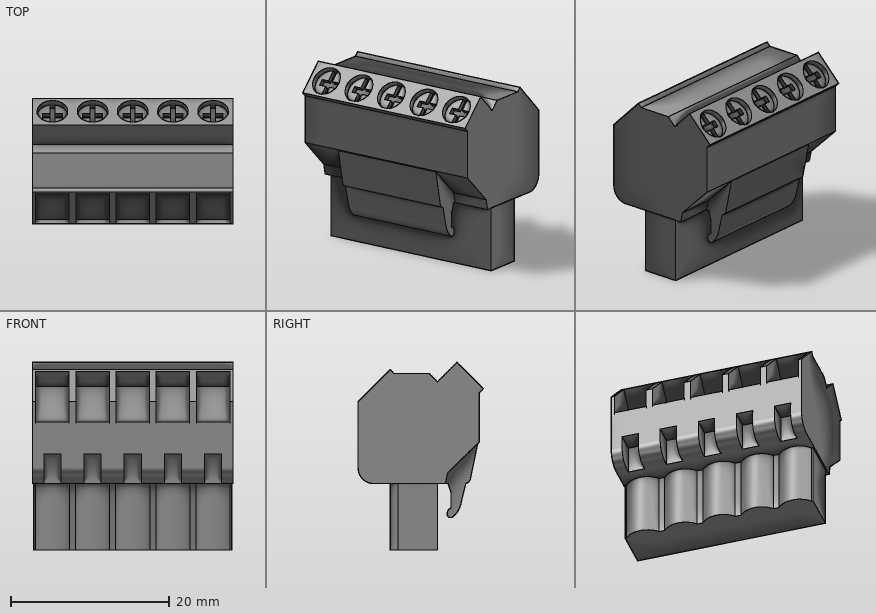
import cadquery as cq
import math


pole_count = 5
width = 25.4
pitch = width / pole_count
pole_centres = [(i - (pole_count - 1) / 2) * pitch for i in range(pole_count)]

height = 23.77
base_z = 8.4
depth = 15.88
back_y = 15.35
roof_z = 22.38
front_slope_z = 18.8
front_ridge_y = 4.06
back_ridge_y = 12.52
groove_y = 10.05
back_knee_z = 13.7
heel_y = 11.33
heel_z = 9.78
heel_foot_y = 11.05
front_edge_radius = 1.98

plug_width = 25.05
plug_back_y = groove_y
plug_front_y = front_ridge_y
bulge_width = 4.32
bulge_rise = 1.0

entry_width = 4.25
entry_length = 7.21
entry_depth = 2.67
entry_sill_z = 16.2

notch_width = 2.15
notch_height = 3.75
notch_depth = 2.55

latch_width = 3 * pitch
latch_top = (15.16, 13.51)
shoulder_start = (14.22, 8.97)
shoulder_middle = (14.02, 8.64)
shoulder_end = (13.65, base_z)
hook_back_start = (12.98, 5.7)
hook_back_middle = (12.65, 4.95)
hook_back_end = (12.06, 4.27)
hook_tip = (11.45, 4.2)
hook_nose = (11.28, 4.72)
hook_throat = (11.43, 5.1)
arm_front_bottom = (11.75, 5.35)
arm_front_top = (11.75, 7.3)
arm_root = (11.38, base_z)

screw_diameter = 3.85
screw_length = 2.03
screw_axis_y = 14.25
screw_recess = 0.8
drive_slot_depth = 0.64
long_slot_width = 0.6
short_slot_width = 0.85
short_slot_length = 2.51


def extrude_along_x(outline, length):
    """Extrude a YZ outline symmetrically about X = 0."""
    return outline.extrude(length / 2, both=True)


def make_housing_block():
    back_tip_z = height - (depth - back_ridge_y)
    front_ridge_z = front_slope_z + front_ridge_y
    groove_z = height - (back_ridge_y - groove_y)
    outline = (
        cq.Workplane("YZ")
        .moveTo(0, front_slope_z)
        .lineTo(front_ridge_y, front_ridge_z)
        .lineTo(front_ridge_y + (front_ridge_z - roof_z), roof_z)
        .lineTo(groove_y - (roof_z - groove_z), roof_z)
        .lineTo(groove_y, groove_z)
        .lineTo(back_ridge_y, height)
        .lineTo(depth, back_tip_z)
        .lineTo(back_y, back_tip_z - (depth - back_y))
        .lineTo(back_y, back_knee_z)
        .lineTo(heel_y, heel_z)
        .lineTo(heel_foot_y, base_z)
        .lineTo(front_edge_radius, base_z)
        .radiusArc((0, base_z + front_edge_radius), front_edge_radius)
        .close()
    )
    return extrude_along_x(outline, width)


def make_plug():
    """Straight bar with one round bulge per pole along its front."""
    bulge_foot_y = plug_front_y + bulge_rise
    plug = (
        cq.Workplane("XY")
        .moveTo(0, (bulge_foot_y + plug_back_y) / 2)
        .rect(plug_width, plug_back_y - bulge_foot_y)
        .extrude(base_z)
    )
    for x in pole_centres:
        bulge = (
            cq.Workplane("XY")
            .moveTo(x - bulge_width / 2, bulge_foot_y)
            .threePointArc((x, plug_front_y), (x + bulge_width / 2, bulge_foot_y))
            .close()
            .extrude(base_z)
        )
        plug = plug.union(bulge)
    return plug


def make_latch():
    """Tapering arm under the back of the housing, ending in a rounded hook."""
    outline = (
        cq.Workplane("YZ")
        .moveTo(heel_y, heel_z)
        .lineTo(*latch_top)
        .lineTo(*shoulder_start)
        .threePointArc(shoulder_middle, shoulder_end)
        .lineTo(*hook_back_start)
        .threePointArc(hook_back_middle, hook_back_end)
        .threePointArc(hook_tip, hook_nose)
        .threePointArc(hook_throat, arm_front_bottom)
        .lineTo(*arm_front_top)
        .lineTo(*arm_root)
        .lineTo(heel_foot_y, base_z)
        .close()
    )
    return extrude_along_x(outline, latch_width)


def make_wire_entry(x):
    """Box sunk square to the front slope, its lower end at the sill."""
    sill_y = (entry_sill_z - front_slope_z) / 2
    sill_corner = cq.Vector(x, sill_y, entry_sill_z - sill_y)
    slope = cq.Plane(origin=sill_corner, xDir=(1, 0, 0), normal=(0, -1, 1))
    return (
        cq.Workplane(slope)
        .moveTo(0, entry_length / 2)
        .rect(entry_width, entry_length)
        .extrude(-entry_depth)
    )


def make_notch(x):
    """Upright recess open to the front face and to the underside of the housing."""
    return (
        cq.Workplane("XY")
        .box(notch_width, notch_depth, notch_height, centered=(True, False, False))
        .translate((x, 0, base_z))
    )


def back_slope_plane(x, below):
    """Plane parallel to the back slope, centred on the screw axis at the given depth."""
    screw_axis_z = height - (screw_axis_y - back_ridge_y)
    sink = below / math.sqrt(2)
    centre = (x, screw_axis_y - sink, screw_axis_z - sink)
    return cq.Plane(origin=centre, xDir=(1, 0, 0), normal=(0, 1, 1))


def make_screw_hole(x):
    return (
        cq.Workplane(back_slope_plane(x, 0))
        .circle(screw_diameter / 2)
        .extrude(-(screw_recess + screw_length))
    )


def make_screw(x):
    """Cylinder with a cross-shaped driver slot in its head."""
    head_face = back_slope_plane(x, screw_recess)
    shank = cq.Workplane(head_face).circle(screw_diameter / 2).extrude(-screw_length)
    long_slot = (
        cq.Workplane(head_face).rect(long_slot_width, screw_diameter).extrude(-drive_slot_depth)
    )
    short_slot = (
        cq.Workplane(head_face).rect(short_slot_length, short_slot_width).extrude(-drive_slot_depth)
    )
    return shank.cut(long_slot).cut(short_slot)


housing = make_housing_block().union(make_plug()).union(make_latch())
for x in pole_centres:
    housing = housing.cut(make_wire_entry(x)).cut(make_notch(x)).cut(make_screw_hole(x))

screws = [make_screw(x) for x in pole_centres]

result = cq.Compound.makeCompound([housing.val(), *[screw.val() for screw in screws]])